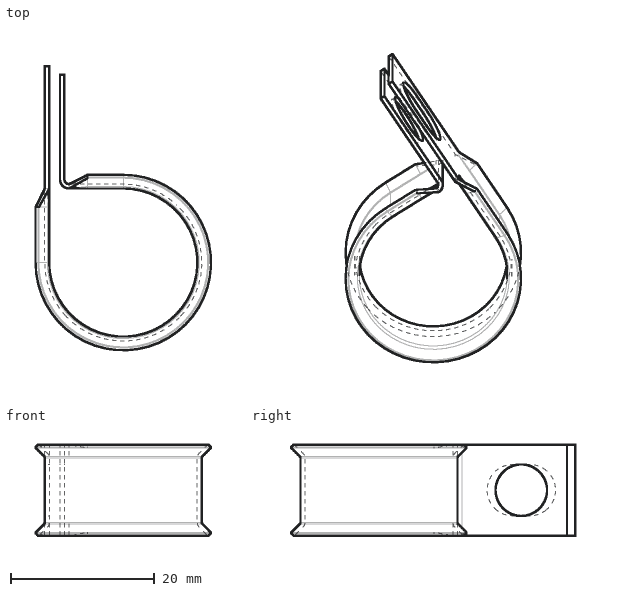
import cadquery as cq
import math


thickness = 0.635
strip_width = 12.7
half_width = strip_width / 2

flare_radius = 12.23
band_inner_radius = 10.3
band_outer_radius = band_inner_radius + thickness
flare_angle = math.radians(45)
flare_bend_radius = 0.3175
rim_edge_radius = 0.1
ring_sweep = 270

left_flare_end = 7.7
left_flat_start = 10.32
top_flare_end = 4.96
top_flat_start = 7.55

left_tab_end = 27.36
right_tab_end = 26.17
tab_bend_inner_radius = thickness
tab_bend_outer_radius = tab_bend_inner_radius + thickness

hole_diameter = 7.14
slot_length = 9.525
hole_y = 19.83

flare_sin = math.sin(flare_angle)
flare_cos = math.cos(flare_angle)
rim_flat = thickness - 2 * rim_edge_radius
outer_edge_center = (
    flare_radius - rim_edge_radius,
    half_width - rim_edge_radius - rim_flat * flare_sin,
)
inner_edge_center = (
    outer_edge_center[0] - rim_flat * flare_cos,
    half_width - rim_edge_radius,
)
bend_center_r = band_outer_radius + flare_bend_radius
outer_bend_end_r = bend_center_r - flare_bend_radius * flare_cos
bend_end_rise = flare_bend_radius * flare_sin
flare_end_r = outer_edge_center[0] + rim_edge_radius * flare_cos
flare_end_z = outer_edge_center[1] - rim_edge_radius * flare_sin
flare_rise = (flare_end_r - outer_bend_end_r) / math.tan(flare_angle)
bend_start_z = flare_end_z - flare_rise - bend_end_rise


def bend_point(radius, angle):
    """Point on an arc about the flare bend centre, measured from the band wall."""
    return (
        bend_center_r - radius * math.cos(angle),
        bend_start_z + radius * math.sin(angle),
    )


def rim_point(center, angle):
    """Point on a rounded rim edge; angle zero faces square out of the flare's outer surface."""
    direction = angle - flare_angle
    return (
        center[0] + rim_edge_radius * math.cos(direction),
        center[1] + rim_edge_radius * math.sin(direction),
    )


def flared_section(plane):
    """Upper half of the strip section with its rim bent outwards."""
    convex_radius = flare_bend_radius + thickness
    quarter_turn = math.pi / 2
    return (
        cq.Workplane(plane)
        .moveTo(band_outer_radius, 0)
        .lineTo(band_outer_radius, bend_start_z)
        .threePointArc(
            bend_point(flare_bend_radius, flare_angle / 2),
            bend_point(flare_bend_radius, flare_angle),
        )
        .lineTo(flare_end_r, flare_end_z)
        .threePointArc(
            rim_point(outer_edge_center, quarter_turn / 2),
            rim_point(outer_edge_center, quarter_turn),
        )
        .lineTo(*rim_point(inner_edge_center, quarter_turn))
        .threePointArc(
            rim_point(inner_edge_center, 1.5 * quarter_turn),
            rim_point(inner_edge_center, 2 * quarter_turn),
        )
        .lineTo(*bend_point(convex_radius, flare_angle))
        .threePointArc(
            bend_point(convex_radius, flare_angle / 2),
            (band_inner_radius, bend_start_z),
        )
        .lineTo(band_inner_radius, 0)
        .close()
    )


def flat_section(plane):
    """Upper half of the flat strip, split at the same places as the flared section."""
    outer_split_z = bend_start_z + bend_end_rise
    inner_split_z = bend_point(flare_bend_radius + thickness, flare_angle)[1]
    return cq.Workplane(plane).polyline([
        (band_outer_radius, 0),
        (band_outer_radius, bend_start_z),
        (band_outer_radius, outer_split_z),
        (band_outer_radius, half_width),
        (band_outer_radius - rim_edge_radius, half_width),
        (band_inner_radius + rim_edge_radius, half_width),
        (band_inner_radius, half_width),
        (band_inner_radius, inner_split_z),
        (band_inner_radius, bend_start_z),
        (band_inner_radius, 0),
    ]).close()


def left_plane(distance):
    """Section plane across the left arm, with its first axis pointing away from the ring axis."""
    return cq.Plane(origin=(0, distance, 0), xDir=(-1, 0, 0), normal=(0, 1, 0))


def top_plane(distance):
    """Section plane across the top arm, with its first axis pointing away from the ring axis."""
    return cq.Plane(origin=(-distance, 0, 0), xDir=(0, 1, 0), normal=(1, 0, 0))


def arm(section_plane, extrude_sign, flare_end, flat_start):
    """Straight flared length followed by the transition from flared to flat strip."""
    straight = flared_section(section_plane(0)).extrude(extrude_sign * flare_end)
    start_wire = flared_section(section_plane(flare_end)).val()
    end_wire = flat_section(section_plane(flat_start)).val()
    transition = cq.Solid.makeLoft([start_wire, end_wire], True)
    return straight.union(cq.Workplane(transition))


def ring():
    """Upper half of the ring, from the left arm round the bottom to the top arm."""
    return flared_section(left_plane(0)).revolve(ring_sweep, (0, 0), (0, 1))


def left_tab():
    """Flat tab in line with the left arm, with a slotted opening along Y."""
    length = left_tab_end - left_flat_start
    plate = cq.Workplane("XY").box(thickness, length, strip_width, centered=(False, False, True))
    plate = plate.translate((-band_outer_radius, left_flat_start, 0))
    slot = (
        cq.Workplane("YZ", origin=(-band_outer_radius, hole_y, 0))
        .slot2D(slot_length, hole_diameter)
        .extrude(thickness)
    )
    return plate.cut(slot)


def right_tab():
    """Tab turned up from the end of the top arm, with a round hole."""
    center_y = band_inner_radius + tab_bend_outer_radius
    outer_x = -top_flat_start - tab_bend_outer_radius
    inner_x = -top_flat_start - tab_bend_inner_radius
    diagonal = math.sqrt(0.5)
    outer_mid = tab_bend_outer_radius * diagonal
    inner_mid = tab_bend_inner_radius * diagonal
    tab = (
        cq.Workplane("XY")
        .moveTo(-top_flat_start, band_inner_radius)
        .threePointArc((-top_flat_start - outer_mid, center_y - outer_mid), (outer_x, center_y))
        .lineTo(outer_x, right_tab_end)
        .lineTo(inner_x, right_tab_end)
        .lineTo(inner_x, center_y)
        .threePointArc(
            (-top_flat_start - inner_mid, center_y - inner_mid),
            (-top_flat_start, band_outer_radius),
        )
        .close()
        .extrude(half_width, both=True)
    )
    hole = (
        cq.Workplane("YZ", origin=(outer_x, hole_y, 0))
        .circle(hole_diameter / 2)
        .extrude(thickness)
    )
    return tab.cut(hole)


left_arm = arm(left_plane, 1, left_flare_end, left_flat_start)
top_arm = arm(top_plane, -1, top_flare_end, top_flat_start)
upper_half = ring().union(left_arm).union(top_arm)
loop = upper_half.union(upper_half.mirror("XY"))
result = loop.union(left_tab()).union(right_tab())